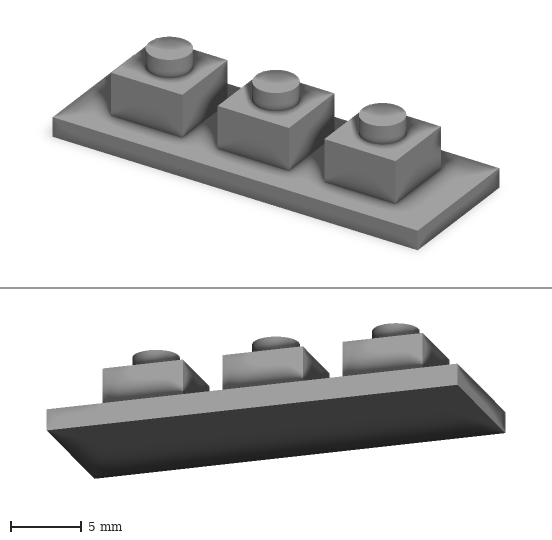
import cadquery as cq

plate_length = 30.8
plate_width = 10.8
plate_thickness = 1.6

block_count = 3
block_pitch = 9.0
block_side = 6.0
block_height = 3.5
button_diameter = 3.4
total_height = 6.6

block_top = plate_thickness + block_height
button_height = total_height - block_top


def make_plate():
    """Flat plate centred on the origin, with its underside at Z = 0."""
    return cq.Workplane("XY").box(
        plate_length, plate_width, plate_thickness, centered=(True, True, False)
    )


def add_switches(body):
    """Add the evenly spaced blocks and their buttons."""
    body = (
        body.faces(">Z")
        .workplane(origin=(0, 0, plate_thickness))
        .rarray(block_pitch, 0.3, block_count, 1)
        .rect(block_side, block_side)
        .extrude(block_height)
    )
    return (
        body.faces(">Z")
        .workplane(origin=(0, 0, block_top))
        .rarray(block_pitch, 0.3, block_count, 1)
        .circle(button_diameter / 2)
        .extrude(button_height)
    )


result = add_switches(make_plate())